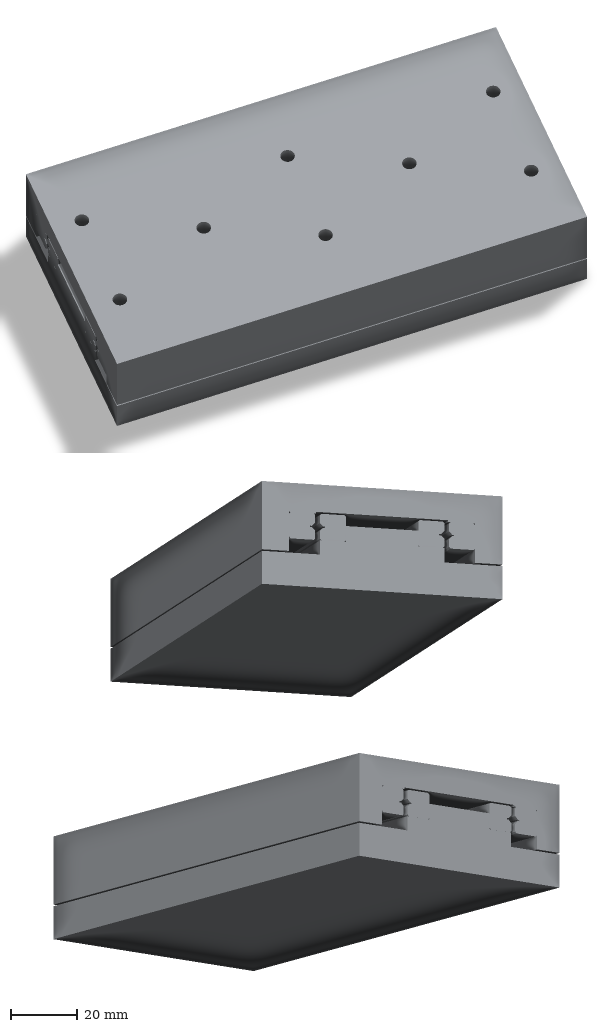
import cadquery as cq

width = 76.2
plate_length = 152.4
overall_height = 31.76
base_advance = 0.02

rail_pair_width = 18.0
rail_gap = 1.5
rail_width = (rail_pair_width - rail_gap) / 2
rail_height = 8.2
rail_chamfer = 0.5
groove_half_height = 1.2
relief_half_height = 0.2
relief_depth = 1.65

cavity_half_width = 29.45
outer_rail_face = cavity_half_width - rail_width
inner_rail_face = outer_rail_face - rail_gap
land_half_width = cavity_half_width - rail_pair_width

shelf_z = 10.2
rail_bottom_z = 14.6
rail_top_z = rail_bottom_z + rail_height
groove_z = rail_bottom_z + rail_height / 2
land_z = 19.5
carriage_bottom_z = 10.7
recess_depth = 0.5
recess_z = rail_top_z + recess_depth
recess_half_width = 20.9

hole_diameter = 4.4
hole_x = 15.875
hole_pitch_y = 33.34


def extrude_along_y(points, front_y):
    """Extrude an X-Z outline from front_y toward +Y over the plate length."""
    return cq.Workplane("XZ", origin=(0, front_y, 0)).polyline(points).close().extrude(-plate_length)


def mirrored(half_outline):
    """Complete a right-half outline with its reflection in X = 0."""
    return half_outline + [(-x, z) for x, z in reversed(half_outline)]


def make_base():
    half_outline = [
        (width / 2, 0),
        (width / 2, shelf_z),
        (inner_rail_face, shelf_z),
        (inner_rail_face, rail_bottom_z),
        (land_half_width, rail_bottom_z),
        (land_half_width, land_z),
    ]
    return extrude_along_y(mirrored(half_outline), -plate_length / 2 - base_advance)


def make_carriage():
    half_outline = [
        (recess_half_width, recess_z),
        (recess_half_width, rail_top_z),
        (cavity_half_width, rail_top_z),
        (cavity_half_width, carriage_bottom_z),
        (width / 2, carriage_bottom_z),
        (width / 2, overall_height),
    ]
    body = extrude_along_y(mirrored(half_outline), -plate_length / 2)
    hole_points = []
    for row in range(-2, 3):
        row_x = (-hole_x, hole_x) if row % 2 == 0 else (0,)
        hole_points += [(x, row * hole_pitch_y) for x in row_x]
    holes = (
        cq.Workplane("XY", origin=(0, 0, recess_z))
        .pushPoints(hole_points)
        .circle(hole_diameter / 2)
        .extrude(overall_height - recess_z)
    )
    return body.cut(holes)


def make_rail(face_x, back_direction):
    """Rail with a V-groove in the face at face_x; its back lies toward back_direction (+1 or -1)."""
    vee_depth = groove_half_height - relief_half_height
    lower_half = [
        (relief_depth, relief_half_height),
        (vee_depth, relief_half_height),
        (0, groove_half_height),
        (0, rail_height / 2 - rail_chamfer),
        (rail_chamfer, rail_height / 2),
        (rail_width - rail_chamfer, rail_height / 2),
        (rail_width, rail_height / 2 - rail_chamfer),
    ]
    lower = [(face_x + back_direction * depth, groove_z - drop) for depth, drop in lower_half]
    upper = [(face_x + back_direction * depth, groove_z + rise) for depth, rise in reversed(lower_half)]
    return extrude_along_y(lower + upper, -plate_length / 2)


base = make_base()
carriage = make_carriage()

rails = []
for side in (-1, 1):
    rails.append(make_rail(side * inner_rail_face, -side))
    rails.append(make_rail(side * outer_rail_face, side))

result = cq.Compound.makeCompound([base.val(), carriage.val(), *[rail.val() for rail in rails]])